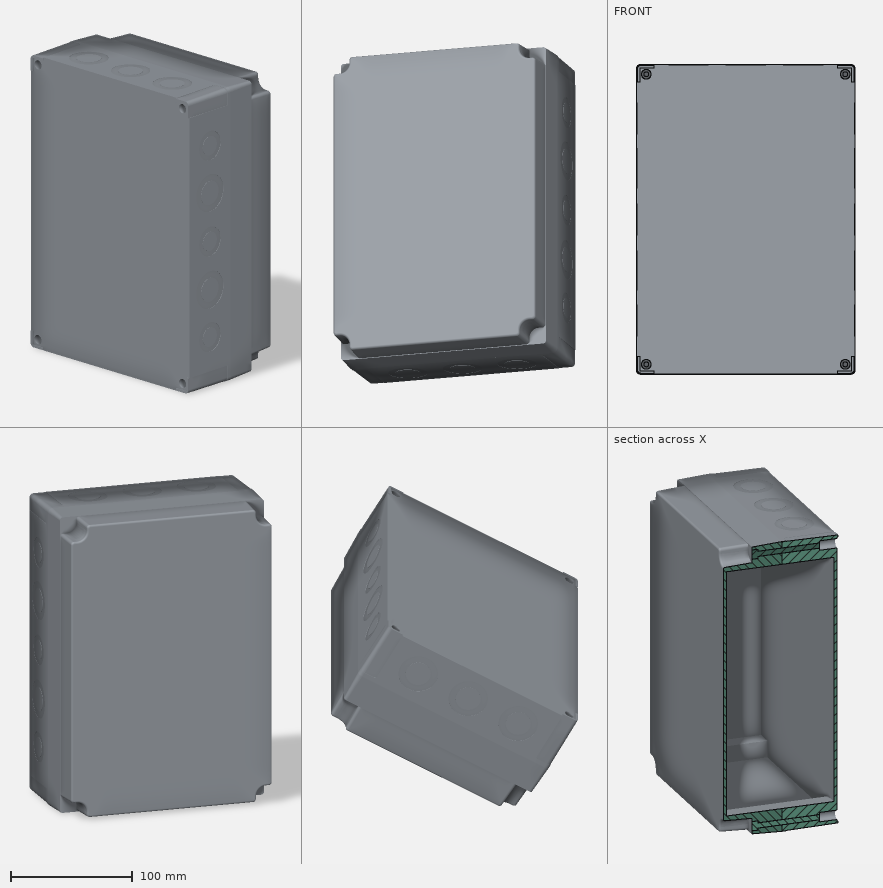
import cadquery as cq
import math

LENGTH = 255.0
WIDTH = 180.0
BASE_DEPTH = 49.0
SKIRT_DEPTH = 26.3
DOME_DEPTH = 25.3
LEDGE_Y = BASE_DEPTH + SKIRT_DEPTH
FRONT_Y = LEDGE_Y + DOME_DEPTH
WALL = 3.0
CORNER_RADIUS = 3.8

BASE_DRAFT = 0.3
SKIRT_DRAFT = 1.3
DOME_DRAFT = 1.0
DOME_STEP = 0.5

NOTCH_X = 13.8
NOTCH_Z = 13.3
NOTCH_RADIUS = 7.7
NOTCH_EDGE_RADIUS = 2.5
FRONT_EDGE_RADIUS = 1.8

PAD_WIDTH = 14.5
PAD_TOP_Y = 45.2
PAD_CORNER_RADIUS = 2.0
PAD_TOP_RECESS = 0.3
PAD_FOOT_RECESS = 0.8
FOOT_HEIGHT = 1.0
FOOT_THICKNESS = 2.0

KNOCKOUT_Y = 24.2
KNOCKOUT_GROOVE = 0.3
LARGE_KNOCKOUT = (32.5, 20.7)
SMALL_KNOCKOUT = (25.5, 16.5)
END_PITCH = 47.2
SIDE_LARGE_Z = 42.0
SIDE_SMALL_Z = 83.2

SCREW_INSET = 8.2
SCREW_X = WIDTH / 2 - SCREW_INSET
SCREW_Z = LENGTH / 2 - SCREW_INSET
SHANK_DIAMETER = 4.0
HEAD_DIAMETER = 7.7
HEAD_HEIGHT = 5.0
BACK_HOLE_DIAMETER = 8.0
BACK_HOLE_DEPTH = 15.3
POST_SIZE = 20.5

EDGE_MARGIN = 2.5

CORNERS = [(sx, sz) for sx in (-1, 1) for sz in (-1, 1)]


def plane_at(y, direction=1):
    """Plane across the box at height y, with its normal along +Y or -Y."""
    return cq.Plane(origin=(0, y, 0), xDir=(1, 0, 0), normal=(0, direction, 0))


def draft_angle(draft, depth):
    """Taper in degrees that moves a side inwards by the draft over the depth."""
    return math.degrees(math.atan2(draft, depth))


def tapered_block(y, depth, inset, draft, direction):
    """Round-cornered block from y along +Y or -Y, shrinking by the draft on each side."""
    outline = cq.Sketch().rect(WIDTH - 2 * inset, LENGTH - 2 * inset).vertices().fillet(CORNER_RADIUS)
    return (
        cq.Workplane(plane_at(y, direction))
        .placeSketch(outline)
        .extrude(depth, taper=draft_angle(draft, depth))
    )


def corner_posts(start_y, end_y, size_x, size_z):
    """Four rectangular columns in the corners of the overall outline."""
    centres = [(sx * (WIDTH - size_x) / 2, sz * (LENGTH - size_z) / 2) for sx, sz in CORNERS]
    return cq.Workplane(plane_at(start_y)).pushPoints(centres).rect(size_x, size_z).extrude(end_y - start_y)


def cavity(start_y, end_y):
    """Inside of the box, leaving the walls and the four screw posts."""
    inset = SKIRT_DRAFT + DOME_STEP + DOME_DRAFT + WALL
    room = (
        cq.Workplane(plane_at(start_y))
        .rect(WIDTH - 2 * inset, LENGTH - 2 * inset)
        .extrude(end_y - start_y)
    )
    return room.cut(corner_posts(start_y, end_y, POST_SIZE, POST_SIZE))


def screw_cylinders(start_y, end_y, diameter):
    """Cylinders on the four screw axes."""
    points = [(sx * SCREW_X, sz * SCREW_Z) for sx, sz in CORNERS]
    return cq.Workplane(plane_at(start_y)).pushPoints(points).circle(diameter / 2).extrude(end_y - start_y)


def ring(plane, spot, diameters, depth):
    """Ring-shaped cutter on both sides of a plane."""
    outer, inner = diameters
    return (
        cq.Workplane(plane)
        .center(*spot)
        .circle(outer / 2)
        .circle(inner / 2)
        .extrude(depth, both=True)
    )


def mark_knockouts(base):
    """Cut the shallow knockout rings into the end faces and the long sides."""
    groove = KNOCKOUT_GROOVE + BASE_DRAFT / 2
    side_spots = [(z, LARGE_KNOCKOUT) for z in (-SIDE_LARGE_Z, SIDE_LARGE_Z)]
    side_spots += [(z, SMALL_KNOCKOUT) for z in (-SIDE_SMALL_Z, 0, SIDE_SMALL_Z)]
    for side in (-1, 1):
        end = cq.Plane(origin=(0, 0, side * LENGTH / 2), xDir=(1, 0, 0), normal=(0, 0, 1))
        for x in (-END_PITCH, 0, END_PITCH):
            base = base.cut(ring(end, (x, KNOCKOUT_Y), LARGE_KNOCKOUT, groove))
        flank = cq.Plane(origin=(side * WIDTH / 2, 0, 0), xDir=(0, 1, 0), normal=(1, 0, 0))
        for z, diameters in side_spots:
            base = base.cut(ring(flank, (KNOCKOUT_Y, z), diameters, groove))
    return base


def add_corner_pads(base):
    """Recess the outer sides at the corners and stand an L-shaped foot on each corner."""
    pad_height = PAD_TOP_Y + FOOT_HEIGHT
    columns = (
        corner_posts(-FOOT_HEIGHT, PAD_TOP_Y, PAD_WIDTH, PAD_WIDTH)
        .faces(">Y")
        .edges("|Z")
        .filter(lambda edge: abs(edge.Center().x) < WIDTH / 2 - EDGE_MARGIN)
        .fillet(PAD_CORNER_RADIUS)
    )
    pad_core = tapered_block(PAD_TOP_Y, pad_height, PAD_TOP_RECESS, PAD_FOOT_RECESS - PAD_TOP_RECESS, -1)
    foot_inset = PAD_FOOT_RECESS + FOOT_THICKNESS
    foot_inside = (
        cq.Workplane(plane_at(-FOOT_HEIGHT))
        .rect(WIDTH - 2 * foot_inset, LENGTH - 2 * foot_inset)
        .extrude(pad_height)
    )
    pads = columns.intersect(pad_core)
    return base.cut(columns.cut(pad_core)).union(pads.cut(foot_inside))


def make_base():
    """Hollow rear half of the box, with a stepped hole behind each screw."""
    base = tapered_block(BASE_DEPTH, BASE_DEPTH, 0, BASE_DRAFT, -1)
    base = add_corner_pads(base)
    base = mark_knockouts(base)
    base = base.cut(cavity(WALL, BASE_DEPTH))
    base = base.cut(screw_cylinders(0, BACK_HOLE_DEPTH, BACK_HOLE_DIAMETER))
    return base.cut(screw_cylinders(BACK_HOLE_DEPTH, BASE_DEPTH, SHANK_DIAMETER))


def make_dome():
    """Drafted front part of the lid, with a rounded notch over each screw."""
    half_x = WIDTH / 2 - SKIRT_DRAFT - DOME_STEP
    half_z = LENGTH / 2 - SKIRT_DRAFT - DOME_STEP
    wall_x = half_x - NOTCH_X
    wall_z = half_z - NOTCH_Z

    def is_notch_root(corner):
        return abs(corner.X) < half_x - EDGE_MARGIN and abs(corner.Y) < half_z - EDGE_MARGIN

    def is_notch_rim(edge):
        centre = edge.Center()
        is_outer = abs(centre.x) > half_x - EDGE_MARGIN or abs(centre.z) > half_z - EDGE_MARGIN
        return is_outer and edge.BoundingBox().ylen > DOME_DEPTH / 2

    outline = (
        cq.Sketch()
        .rect(2 * half_x, 2 * wall_z)
        .rect(2 * wall_x, 2 * half_z)
        .clean()
        .vertices()
        .filter(is_notch_root)
        .fillet(NOTCH_RADIUS)
    )
    block = (
        cq.Workplane(plane_at(LEDGE_Y))
        .placeSketch(outline)
        .extrude(DOME_DEPTH, taper=draft_angle(DOME_DRAFT, DOME_DEPTH))
    )
    block = block.edges().filter(is_notch_rim).fillet(NOTCH_EDGE_RADIUS)
    return block.faces(">Y").edges().fillet(FRONT_EDGE_RADIUS)


def make_lid():
    """Hollow lid: a drafted skirt carrying the notched dome, with seats for the screw heads."""
    skirt = tapered_block(BASE_DEPTH, SKIRT_DEPTH, 0, SKIRT_DRAFT, 1)
    lid = skirt.union(make_dome())
    lid = lid.cut(cavity(BASE_DEPTH, FRONT_Y - WALL))
    lid = lid.cut(screw_cylinders(BASE_DEPTH, LEDGE_Y, SHANK_DIAMETER))
    return lid.cut(screw_cylinders(LEDGE_Y - HEAD_HEIGHT, LEDGE_Y, HEAD_DIAMETER))


def make_screws():
    """Four lid screws, each a shank with a head flush with the ledge."""
    shanks = screw_cylinders(BACK_HOLE_DEPTH, LEDGE_Y, SHANK_DIAMETER)
    return shanks.union(screw_cylinders(LEDGE_Y - HEAD_HEIGHT, LEDGE_Y, HEAD_DIAMETER))


base = make_base()
lid = make_lid()
screws = make_screws()

result = cq.Compound.makeCompound([base.val(), lid.val(), *screws.vals()])